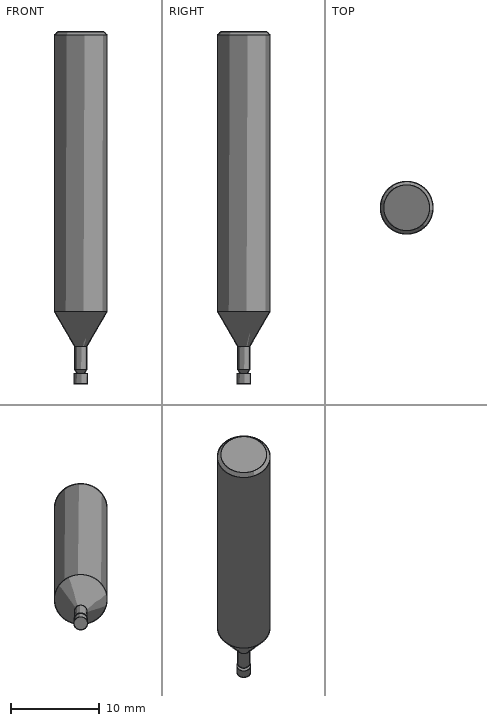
import cadquery as cq

total_length = 40.0

shank_diameter = 6.0
shank_chamfer = 0.4
shank_bottom = 8.25

neck_diameter = 1.4
neck_top = 4.3
neck_bottom = 1.65

head_diameter = 1.55
head_height = 1.2
undercut_diameter = 0.8


def make_holder():
    """Shank, cone, neck and undercut taper, revolved about Z as one body."""
    shank_radius = shank_diameter / 2
    neck_radius = neck_diameter / 2
    return (
        cq.Workplane("XZ")
        .moveTo(0, head_height)
        .lineTo(undercut_diameter / 2, head_height)
        .lineTo(neck_radius, neck_bottom)
        .lineTo(neck_radius, neck_top)
        .lineTo(shank_radius, shank_bottom)
        .lineTo(shank_radius, total_length - shank_chamfer)
        .lineTo(shank_radius - shank_chamfer, total_length)
        .lineTo(0, total_length)
        .close()
        .revolve(360, (0, 0, 0), (0, 1, 0))
    )


def make_cutting_head():
    """Plain cylindrical head that touches the small end of the undercut."""
    return cq.Workplane("XY").circle(head_diameter / 2).extrude(head_height)


holder = make_holder()
cutting_head = make_cutting_head()

result = cq.Compound.makeCompound([holder.val(), cutting_head.val()])